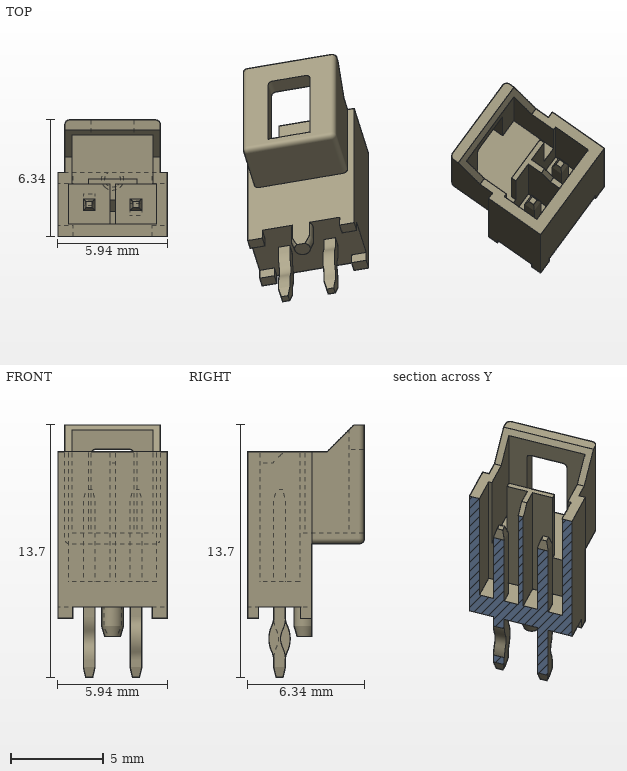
import cadquery as cq
import math


overall_height = 13.71

body_width = 5.94
body_depth = 3.48
body_top = 9.05
foot_height = 0.62
foot_width = 0.82
foot_depth = 0.6

cavity_width = 4.77
cavity_front = 0.67
cavity_back = 2.84
cavity_floor = 2.0

latch_width = 5.2
latch_back = 6.34
latch_top = 10.51
latch_bottom = 4.05
latch_edge_radius = 0.28
latch_lip_depth = 0.57
latch_cavity_width = 4.4
latch_cavity_back = 5.5
latch_floor = latch_bottom + 0.6

window_width = 2.32
window_top = body_top + 0.13
window_corner_radius = 0.25

partition_bar_width = 2.64
partition_bar_thickness = 0.28
divider_thickness = 0.3
divider_slope_front = 1.37
divider_slope_back = 1.97
divider_slope_drop = divider_slope_back - divider_slope_front

peg_radius = 0.6
peg_tip_radius = 0.43
peg_y = 3.11
peg_shoulder = -0.41
peg_bottom = -0.98

pin_pitch = 2.54
pin_size = 0.64
pin_y = 1.73
pin_top = 7.0
contact_tip_size = 0.33
contact_tip_length = 0.57
tail_tip_size = 0.39
tail_bottom = latch_top - overall_height
tail_tip_length = 0.54
bend_middle = -1.1
bend_half_length = 1.155
bend_offset = 0.265


def block(width, y_front, y_back, z_bottom, z_top):
    """Box centred on X = 0 between the given Y and Z limits."""
    size_y = y_back - y_front
    size_z = z_top - z_bottom
    box = cq.Workplane("XY").box(width, size_y, size_z, centered=(True, False, False))
    return box.translate((0, y_front, z_bottom))


def make_body():
    """Rectangular body standing on four corner feet."""
    body = block(body_width, 0, body_depth, 0, body_top)
    lengthwise_channel = block(body_width, foot_depth, body_depth - foot_depth, 0, foot_height)
    crosswise_channel = block(body_width - 2 * foot_width, 0, body_depth, 0, foot_height)
    return body.cut(lengthwise_channel).cut(crosswise_channel)


def make_latch():
    """Rear housing with rounded outer edges and a 45 degree sloped top."""
    latch = block(latch_width, cavity_back, latch_back, latch_bottom, latch_top)
    latch = latch.edges("(|Z and >Y) or (<Z and (not <Y))").fillet(latch_edge_radius)
    slope_back = latch_back - latch_lip_depth
    slope_front = slope_back - (latch_top - body_top)
    relief = (
        cq.Workplane("YZ")
        .moveTo(slope_back, latch_top)
        .lineTo(slope_front, body_top)
        .lineTo(cavity_back, body_top)
        .lineTo(cavity_back, latch_top)
        .close()
        .extrude(latch_width / 2, both=True)
    )
    return latch.cut(relief)


def make_cavities():
    """Main cavity, shallower latch cavity, and the window in the back wall."""
    main = block(cavity_width, cavity_front, cavity_back, cavity_floor, latch_top)
    latch = block(latch_cavity_width, cavity_back, latch_cavity_back, latch_floor, latch_top)
    window = block(window_width, latch_cavity_back, latch_back, latch_floor, window_top)
    window = window.edges("|Y and >Z").fillet(window_corner_radius)
    return main.union(latch).union(window)


def make_partition():
    """Cross bar behind the pins and a divider that steps down between them."""
    bar_back = cavity_back + partition_bar_thickness
    bar = block(partition_bar_width, cavity_back, bar_back, latch_bottom, body_top)
    divider_front_top = body_top - divider_slope_drop
    divider = (
        cq.Workplane("YZ")
        .moveTo(cavity_front, cavity_floor)
        .lineTo(cavity_back, cavity_floor)
        .lineTo(cavity_back, body_top)
        .lineTo(divider_slope_back, body_top)
        .lineTo(divider_slope_front, divider_front_top)
        .lineTo(cavity_front, divider_front_top)
        .close()
        .extrude(divider_thickness / 2, both=True)
    )
    return bar.union(divider)


def make_peg():
    """Tapered round peg, cut flat in line with the back of the body."""
    peg = (
        cq.Workplane("XZ")
        .moveTo(0, foot_height)
        .lineTo(peg_radius, foot_height)
        .lineTo(peg_radius, peg_shoulder)
        .lineTo(peg_tip_radius, peg_bottom)
        .lineTo(0, peg_bottom)
        .close()
        .revolve(360, (0, 0), (0, 1))
        .translate((0, peg_y, 0))
    )
    envelope = block(body_width, 0, body_depth, peg_bottom, foot_height)
    return peg.intersect(envelope)


def make_taper(base_size, tip_size, length):
    """Square frustum rising from Z = 0."""
    return (
        cq.Workplane("XY")
        .rect(base_size, base_size)
        .workplane(offset=length)
        .rect(tip_size, tip_size)
        .loft(ruled=True)
    )


def make_pin(x, bend_side):
    """Square pin whose tail bows towards +Y (bend_side 1) or -Y (bend_side -1)."""
    arc_angle = 2 * math.atan(bend_offset / bend_half_length)
    arc_radius = bend_half_length / (2 * math.sin(arc_angle))
    quarter_rise = arc_radius * (1 - math.cos(arc_angle / 2))
    quarter_run = arc_radius * math.sin(arc_angle / 2)
    bend_start = bend_middle + bend_half_length
    bend_end = bend_middle - bend_half_length
    tail_tip_start = tail_bottom + tail_tip_length
    contact_tip_start = pin_top - contact_tip_length
    offset = bend_side * bend_offset
    rise = bend_side * quarter_rise
    upper_inflection = (offset / 2, bend_middle + bend_half_length / 2)
    lower_inflection = (offset / 2, bend_middle - bend_half_length / 2)
    path = (
        cq.Workplane("YZ")
        .moveTo(0, contact_tip_start)
        .lineTo(0, bend_start)
        .threePointArc((rise, bend_start - quarter_run), upper_inflection)
        .threePointArc((offset, bend_middle), lower_inflection)
        .threePointArc((rise, bend_end + quarter_run), (0, bend_end))
        .lineTo(0, tail_tip_start)
    )
    section = cq.Workplane("XY").workplane(offset=contact_tip_start).rect(pin_size, pin_size)
    shank = section.sweep(path)
    contact_tip = make_taper(pin_size, contact_tip_size, contact_tip_length)
    contact_tip = contact_tip.translate((0, 0, contact_tip_start))
    tail_tip = make_taper(pin_size, tail_tip_size, tail_tip_length)
    tail_tip = tail_tip.mirror("XY").translate((0, 0, tail_tip_start))
    return shank.union(contact_tip).union(tail_tip).translate((x, pin_y, 0))


result = make_body().union(make_latch()).cut(make_cavities())
result = result.union(make_partition()).union(make_peg())
for side in (-1, 1):
    result = result.union(make_pin(side * pin_pitch / 2, -side))